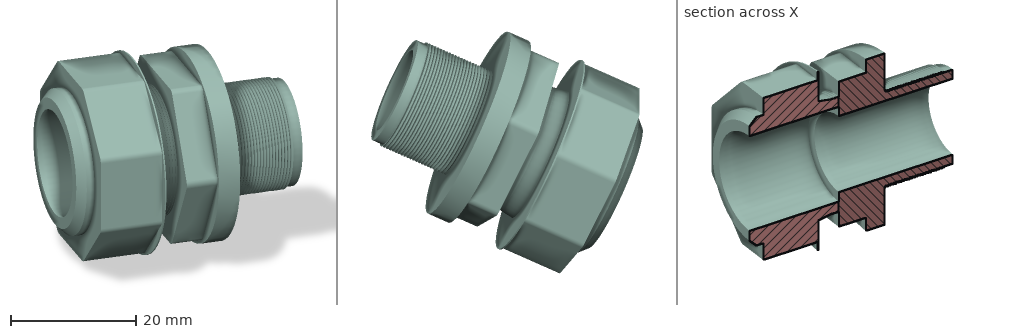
import cadquery as cq
import math


length = 38.85
front_y = -length / 2
back_y = length / 2

collar_radius = 11.93
collar_length = 2.65
collar_chamfer = 1.32
octagon_sides = 8
octagon_across_flats = 30.0
octagon_length = 10.35
washer_radius = 16.5
washer_thickness = 0.25
cap_bore_radius = 8.75

neck_length = 3.85
neck_small_radius = 10.65
neck_large_radius = 11.08
barb_pitch = 0.5
full_barbs = 2
neck_cone_length = 2.55
neck_taper = (neck_large_radius - neck_small_radius) / neck_cone_length
barb_radius = neck_small_radius + neck_taper * barb_pitch
cut_barb_length = neck_length - neck_cone_length - full_barbs * barb_pitch
cut_barb_radius = barb_radius - neck_taper * cut_barb_length

hexagon_sides = 6
hexagon_across_flats = 26.9
hexagon_length = 5.2
flange_radius = 15.9
flange_thickness = 3.6
thread_crest_radius = 9.1
thread_root_radius = 8.65
thread_ridges = 22
spigot_radius = 8.75
spigot_length = 1.67
body_bore_radius = 7.0

corner_fillet = 1.2

collar_end_y = front_y + collar_length
washer_y = collar_end_y + octagon_length
neck_y = washer_y + washer_thickness
joint_y = neck_y + neck_length
flange_y = joint_y + hexagon_length
thread_y = flange_y + flange_thickness
spigot_y = back_y - spigot_length
thread_pitch = (spigot_y - thread_y) / thread_ridges


def disc(radius, start_y, thickness):
    """Cylinder on the Y axis, growing toward +Y from start_y."""
    return cq.Workplane("XZ", origin=(0, start_y, 0)).circle(radius).extrude(-thickness)


def prism(sides, across_flats, start_y, thickness):
    """Regular prism on the Y axis with flats facing +Z and -Z and rounded corners."""
    corner_radius = across_flats / 2 / math.cos(math.pi / sides)
    first_angle = math.pi / 2 + math.pi / sides
    corners = []
    for i in range(sides):
        angle = first_angle + 2 * math.pi * i / sides
        corners.append((corner_radius * math.cos(angle), corner_radius * math.sin(angle)))
    block = cq.Workplane("XZ", origin=(0, start_y, 0)).polyline(corners).close().extrude(-thickness)
    return block.edges("|Y").fillet(corner_fillet)


def revolve_profile(points):
    """Turn a closed (radius, y) outline about the Y axis."""
    return cq.Workplane("XY").polyline(points).close().revolve(360, (0, 0, 0), (0, 1, 0))


def make_neck():
    """Cone narrowing from the washer, followed by barbs up to the gland body."""
    barb_y = neck_y + neck_cone_length
    outline = [(0, neck_y), (neck_large_radius, neck_y), (neck_small_radius, barb_y)]
    for _ in range(full_barbs):
        outline.append((barb_radius, barb_y))
        barb_y += barb_pitch
        outline.append((neck_small_radius, barb_y))
    outline += [(barb_radius, barb_y), (cut_barb_radius, joint_y), (0, joint_y)]
    return revolve_profile(outline)


def make_thread():
    """Parallel V-shaped ridges between the flange and the plain spigot."""
    outline = [(0, thread_y), (thread_crest_radius, thread_y)]
    for i in range(thread_ridges):
        outline.append((thread_root_radius, thread_y + (i + 0.5) * thread_pitch))
        outline.append((thread_crest_radius, thread_y + (i + 1) * thread_pitch))
    outline.append((0, spigot_y))
    return revolve_profile(outline)


def make_cap_nut():
    """Chamfered collar, octagon, thin washer and neck with one through bore."""
    collar = disc(collar_radius, front_y, collar_length).faces("<Y").chamfer(collar_chamfer)
    octagon = prism(octagon_sides, octagon_across_flats, collar_end_y, octagon_length)
    washer = disc(washer_radius, washer_y, washer_thickness)
    bore = disc(cap_bore_radius, front_y, joint_y - front_y)
    return collar.union(octagon).union(washer).union(make_neck()).cut(bore)


def make_gland_body():
    """Hexagon, flange, thread and plain spigot with a narrower through bore."""
    hexagon = prism(hexagon_sides, hexagon_across_flats, joint_y, hexagon_length)
    flange = disc(flange_radius, flange_y, flange_thickness)
    spigot = disc(spigot_radius, spigot_y, spigot_length)
    bore = disc(body_bore_radius, joint_y, back_y - joint_y)
    return hexagon.union(flange).union(make_thread()).union(spigot).cut(bore)


cap_nut = make_cap_nut()
gland_body = make_gland_body()

result = cq.Compound.makeCompound([cap_nut.val(), gland_body.val()])